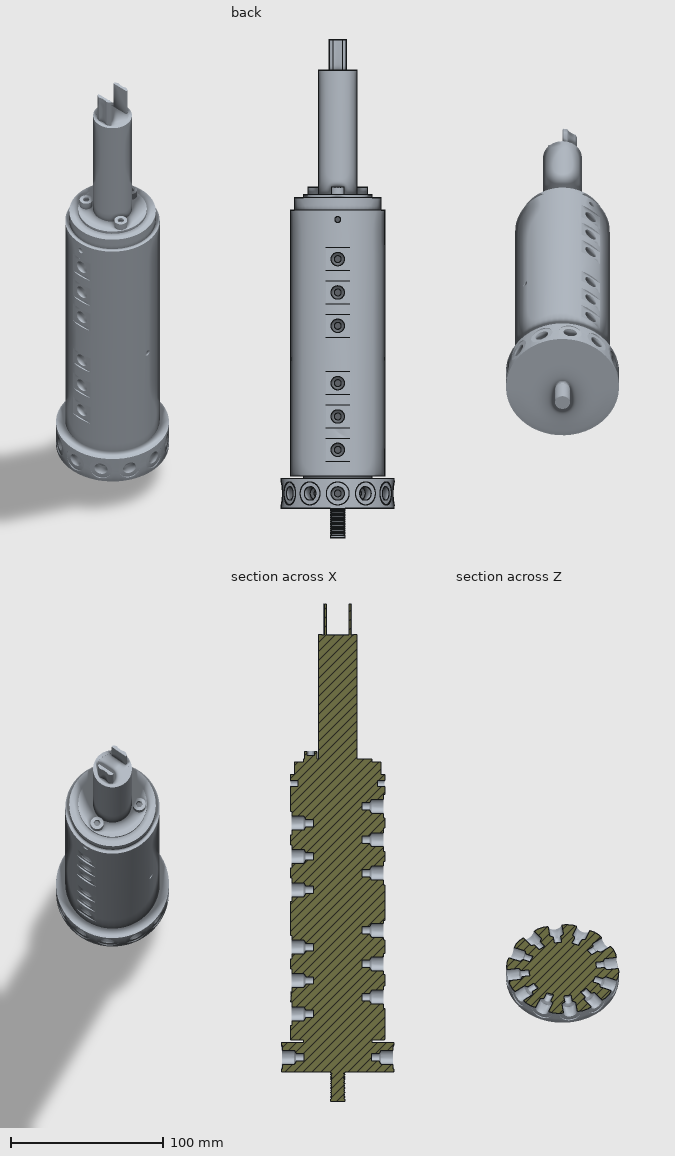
import cadquery as cq
import math

TOTAL_HEIGHT = 326.7
RING_BOTTOM = 19.3
RING_TOP = 39.0
BODY_BOTTOM = 40.5
BODY_TOP = 215.0
CAP_TOP = 223.0
FLANGE_TOP = 225.0
TUBE_TOP = 306.8

RING_DIAMETER = 74.0
BODY_DIAMETER = 62.0
CAP_DIAMETER = 57.0
RING_RADIUS = RING_DIAMETER / 2
BODY_RADIUS = BODY_DIAMETER / 2
CAP_RADIUS = CAP_DIAMETER / 2
COLLAR_RADIUS = 22.5
TUBE_RADIUS = 12.7
TUBE_RECESS_RADIUS = 10.5
TUBE_RECESS_DEPTH = 0.3
TUBE_FLOOR = TUBE_TOP - TUBE_RECESS_DEPTH

STUD_RADIUS = 5.0
THREAD_GROOVE_COUNT = 12
THREAD_DEPTH = 0.82
TIP_LAND = 1.5
THREAD_PITCH = (RING_BOTTOM - TIP_LAND) / THREAD_GROOVE_COUNT

BLADE_RADIUS = 10.0
BLADE_INNER_OFFSET = 7.2
BLADE_WIDTH = 11.5
HOLLOW_WIDTH = 6.5
HOLLOW_DEPTH = 0.5

SCREW_COUNT = 3
SCREW_CIRCLE_RADIUS = 17.5
HEAD_RADIUS = 4.2
HEAD_HEIGHT = 5.0
SOCKET_ACROSS_FLATS = 4.0
SOCKET_DEPTH = 2.5

PORT_RADIUS = 4.4
PORT_DEPTH = 8.0
SEAT_DEPTH = 1.3
PASSAGE_RADIUS = 2.3
PASSAGE_DEPTH = 5.0

RING_PORT_COUNT = 12
SPOTFACE_RADIUS = 7.5
SPOTFACE_DEPTH = RING_RADIUS - math.sqrt(RING_RADIUS**2 - SPOTFACE_RADIUS**2)

PAD_WIDTH = 15.5
PAD_PLANE = math.sqrt(BODY_RADIUS**2 - (PAD_WIDTH / 2) ** 2)
PAD_PITCH = 22.0
UPPER_GROUP_TOP = 193.7
LOWER_GROUP_TOP = 112.5
FRONT_PAD_HEIGHTS = (15.0, 15.0, 15.0, 12.5, 13.5, 14.5)
BACK_PAD_HEIGHTS = (15.0,) * 6
BACK_PAD_DROP = PAD_PITCH / 2

PIN_HOLE_RADIUS = 2.0
PIN_HOLE_DEPTH = 5.0
FRONT_PIN_HEIGHT = 208.8
SIDE_PIN_HEIGHT = 117.3

FRONT = -90
BACK = 90
LEFT = 180
RIGHT = 0


def cylinder(radius, bottom, top):
    return cq.Workplane("XY").workplane(offset=bottom).circle(radius).extrude(top - bottom)


def place_radially(tool, angle, height):
    """Turn a tool built along X to the given angle about Z and lift it."""
    return tool.rotate((0, 0, 0), (0, 0, 1), angle).translate((0, 0, height))


def radial_cylinder(radius, outer, depth):
    """A cylinder along X, running inwards from x = outer."""
    return cq.Workplane("YZ").workplane(offset=outer - depth).circle(radius).extrude(depth)


def stacked_sections():
    sections = cylinder(COLLAR_RADIUS, RING_BOTTOM, FLANGE_TOP)
    sections = sections.union(cylinder(RING_RADIUS, RING_BOTTOM, RING_TOP))
    sections = sections.union(cylinder(BODY_RADIUS, BODY_BOTTOM, BODY_TOP))
    sections = sections.union(cylinder(CAP_RADIUS, BODY_TOP, CAP_TOP))
    sections = sections.union(cylinder(TUBE_RADIUS, FLANGE_TOP, TUBE_TOP))
    return sections.cut(cylinder(TUBE_RECESS_RADIUS, TUBE_FLOOR, TUBE_TOP))


def threaded_stud():
    root = STUD_RADIUS - THREAD_DEPTH
    profile = cq.Workplane("XZ").lineTo(STUD_RADIUS, 0).lineTo(STUD_RADIUS, TIP_LAND)
    for i in range(THREAD_GROOVE_COUNT):
        groove_bottom = TIP_LAND + i * THREAD_PITCH
        profile = profile.lineTo(root, groove_bottom + THREAD_PITCH / 2)
        profile = profile.lineTo(STUD_RADIUS, groove_bottom + THREAD_PITCH)
    profile = profile.lineTo(0, RING_BOTTOM).close()
    return profile.revolve(360, (0, 0, 0), (0, 1, 0))


def contact_blade(side):
    half_width = BLADE_WIDTH / 2
    half_hollow = HOLLOW_WIDTH / 2
    shoulder = math.sqrt(BLADE_RADIUS**2 - half_width**2)
    hollow_edge = math.sqrt(BLADE_RADIUS**2 - half_hollow**2)
    middle_x = (half_width + half_hollow) / 2
    middle_y = math.sqrt(BLADE_RADIUS**2 - middle_x**2)
    return (
        cq.Workplane("XY")
        .workplane(offset=TUBE_FLOOR)
        .moveTo(-half_width, side * BLADE_INNER_OFFSET)
        .lineTo(-half_width, side * shoulder)
        .threePointArc((-middle_x, side * middle_y), (-half_hollow, side * hollow_edge))
        .threePointArc((0, side * (hollow_edge - HOLLOW_DEPTH)), (half_hollow, side * hollow_edge))
        .threePointArc((middle_x, side * middle_y), (half_width, side * shoulder))
        .lineTo(half_width, side * BLADE_INNER_OFFSET)
        .close()
        .extrude(TOTAL_HEIGHT - TUBE_FLOOR)
    )


def flange_screws():
    socket_diameter = SOCKET_ACROSS_FLATS / math.cos(math.pi / 6)
    heads = cq.Workplane("XY").workplane(offset=FLANGE_TOP).polarArray(
        SCREW_CIRCLE_RADIUS, 90, 360, SCREW_COUNT
    )
    heads = heads.circle(HEAD_RADIUS).extrude(HEAD_HEIGHT)
    sockets = cq.Workplane("XY").workplane(offset=FLANGE_TOP + HEAD_HEIGHT).polarArray(
        SCREW_CIRCLE_RADIUS, 90, 360, SCREW_COUNT
    )
    return heads.cut(sockets.polygon(6, socket_diameter).extrude(-SOCKET_DEPTH))


def port(face):
    """Port tool along X, entering at x = face."""
    bore_end = face - PORT_DEPTH
    seat_end = bore_end - SEAT_DEPTH
    passage_end = seat_end - PASSAGE_DEPTH
    return (
        cq.Workplane("XY")
        .moveTo(face, 0)
        .lineTo(face, PORT_RADIUS)
        .lineTo(bore_end, PORT_RADIUS)
        .lineTo(seat_end, PASSAGE_RADIUS)
        .lineTo(passage_end, PASSAGE_RADIUS)
        .lineTo(passage_end, 0)
        .close()
        .revolve(360, (0, 0, 0), (1, 0, 0))
    )


def cut_ring_ports(part):
    face = RING_RADIUS - SPOTFACE_DEPTH
    tool = radial_cylinder(SPOTFACE_RADIUS, RING_RADIUS, SPOTFACE_DEPTH).union(port(face))
    for i in range(RING_PORT_COUNT):
        angle = i * 360 / RING_PORT_COUNT
        part = part.cut(place_radially(tool, angle, (RING_BOTTOM + RING_TOP) / 2))
    return part


def cut_pads(part, angle, pad_heights, drop):
    group_size = len(pad_heights) // 2
    pad_depth = BODY_RADIUS - PAD_PLANE
    for i, pad_height in enumerate(pad_heights):
        group_top = UPPER_GROUP_TOP if i < group_size else LOWER_GROUP_TOP
        height = group_top - (i % group_size) * PAD_PITCH - drop
        flat = cq.Workplane("YZ").workplane(offset=PAD_PLANE).rect(PAD_WIDTH, pad_height).extrude(pad_depth)
        part = part.cut(place_radially(flat.union(port(PAD_PLANE)), angle, height))
    return part


def cut_pin_holes(part):
    tool = radial_cylinder(PIN_HOLE_RADIUS, BODY_RADIUS, PIN_HOLE_DEPTH)
    for angle in (FRONT, BACK):
        part = part.cut(place_radially(tool, angle, FRONT_PIN_HEIGHT))
    for angle in (LEFT, RIGHT):
        part = part.cut(place_radially(tool, angle, SIDE_PIN_HEIGHT))
    return part


result = stacked_sections().union(threaded_stud()).union(flange_screws())
for blade_side in (-1, 1):
    result = result.union(contact_blade(blade_side))
result = cut_ring_ports(result)
result = cut_pads(result, FRONT, FRONT_PAD_HEIGHTS, 0)
result = cut_pads(result, BACK, BACK_PAD_HEIGHTS, BACK_PAD_DROP)
result = cut_pin_holes(result)